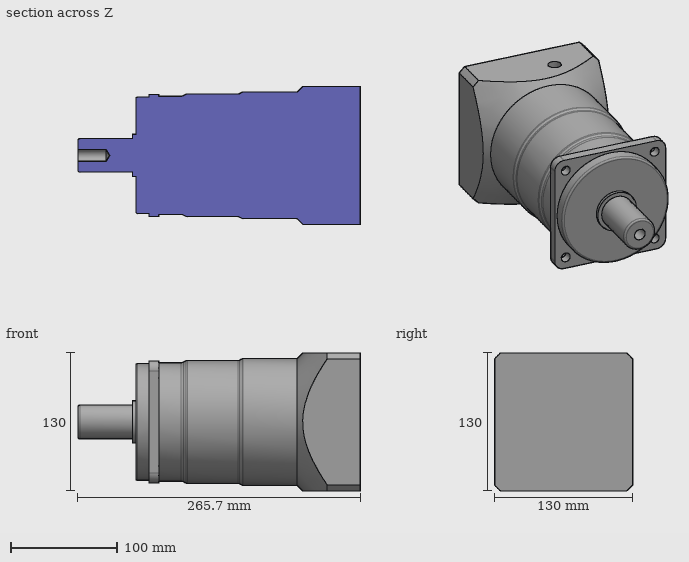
import cadquery as cq
import math

total_length = 265.7
block_side = 130.0

shaft_radius = 16.0
shaft_edge_radius = 1.9
collar_radius = 20.0
collar_start = 51.3
centre_hole_diameter = 11.0
centre_hole_depth = 26.5
drill_tip_angle = 118.0

pilot_radius = 55.0
pilot_start = 54.5
pilot_edge_radius = 1.9
flange_side = 114.8
flange_start = 66.7
flange_thickness = 9.5
flange_corner_radius = 9.5
bolt_spacing = 92.0
bolt_hole_diameter = 9.0

front_body_radius = 55.8
ring_body_radius = 58.0
rear_body_radius = 59.8
front_step_start = 97.0
front_step_foot_radius = 4.8
front_step_crown_radius = 3.2
rear_step_start = 150.7
rear_step_foot_radius = 3.2
rear_step_crown_radius = 1.5
step_angle = 27.0

cone_start = 206.2
block_corner_radius = 88.0

access_x = 233.8
access_y = -19.0
access_diameter = 12.5
access_depth = 26.5
access_bevel_y = -21.8
access_bevel_angle = 35.0


def rounded_corner(profile, corner_x, outer_radius, corner_radius):
    """Round the front outer corner of a cylinder whose end face is at corner_x."""
    inset = corner_radius * (1 - math.sqrt(0.5))
    return (
        profile.lineTo(corner_x, outer_radius - corner_radius)
        .threePointArc(
            (corner_x + inset, outer_radius - inset),
            (corner_x + corner_radius, outer_radius),
        )
    )


def blended_step(profile, start_x, low_radius, high_radius, foot_radius, crown_radius):
    """Rise to a larger radius: concave arc, straight cone, then convex arc."""
    angle = math.radians(step_angle)

    def arc_run(radius, turn):
        return radius * math.sin(turn)

    def arc_rise(radius, turn):
        return radius * (1 - math.cos(turn))

    cone_rise = high_radius - low_radius - arc_rise(foot_radius + crown_radius, angle)
    cone_run = cone_rise / math.tan(angle)
    end_x = start_x + arc_run(foot_radius + crown_radius, angle) + cone_run
    return (
        profile.lineTo(start_x, low_radius)
        .threePointArc(
            (start_x + arc_run(foot_radius, angle / 2), low_radius + arc_rise(foot_radius, angle / 2)),
            (start_x + arc_run(foot_radius, angle), low_radius + arc_rise(foot_radius, angle)),
        )
        .lineTo(end_x - arc_run(crown_radius, angle), high_radius - arc_rise(crown_radius, angle))
        .threePointArc(
            (end_x - arc_run(crown_radius, angle / 2), high_radius - arc_rise(crown_radius, angle / 2)),
            (end_x, high_radius),
        )
    )


def turned_body():
    """Shaft, collar, pilot boss and stepped housing as one revolved profile."""
    profile = rounded_corner(cq.Workplane("XY"), 0, shaft_radius, shaft_edge_radius)
    profile = (
        profile.lineTo(collar_start, shaft_radius)
        .lineTo(collar_start, collar_radius)
        .lineTo(pilot_start, collar_radius)
    )
    profile = rounded_corner(profile, pilot_start, pilot_radius, pilot_edge_radius)
    profile = profile.lineTo(flange_start, pilot_radius).lineTo(flange_start, front_body_radius)
    profile = blended_step(
        profile, front_step_start, front_body_radius, ring_body_radius,
        front_step_foot_radius, front_step_crown_radius,
    )
    profile = blended_step(
        profile, rear_step_start, ring_body_radius, rear_body_radius,
        rear_step_foot_radius, rear_step_crown_radius,
    )
    profile = profile.lineTo(cone_start, rear_body_radius).lineTo(cone_start, 0).close()
    return profile.revolve(360, (0, 0), (1, 0))


def mounting_flange():
    return (
        cq.Workplane("YZ", origin=(flange_start, 0, 0))
        .rect(flange_side, flange_side)
        .extrude(flange_thickness)
        .edges("|X")
        .fillet(flange_corner_radius)
    )


def motor_block():
    """Square block trimmed by a 45 degree cone at the front and a cylinder at its corners."""
    square = (
        cq.Workplane("YZ", origin=(cone_start, 0, 0))
        .rect(block_side, block_side)
        .extrude(total_length - cone_start)
    )
    cone_length = block_corner_radius - rear_body_radius
    envelope_profile = [
        (cone_start, 0),
        (cone_start, rear_body_radius),
        (cone_start + cone_length, block_corner_radius),
        (total_length, block_corner_radius),
        (total_length, 0),
    ]
    envelope = cq.Workplane("XY").polyline(envelope_profile).close().revolve(360, (0, 0), (1, 0))
    return square.intersect(envelope)


def bolt_holes():
    return (
        cq.Workplane("YZ", origin=(flange_start, 0, 0))
        .rect(bolt_spacing, bolt_spacing, forConstruction=True)
        .vertices()
        .circle(bolt_hole_diameter / 2)
        .extrude(flange_thickness)
    )


def centre_hole():
    radius = centre_hole_diameter / 2
    tip_length = radius / math.tan(math.radians(drill_tip_angle / 2))
    profile = [
        (0, 0),
        (0, radius),
        (centre_hole_depth, radius),
        (centre_hole_depth + tip_length, 0),
    ]
    return cq.Workplane("XY").polyline(profile).close().revolve(360, (0, 0), (1, 0))


def access_hole():
    """Blind hole whose flat floor slopes away downwards on the -Y side."""
    floor_z = block_side / 2 - access_depth
    radius = access_diameter / 2
    hole_edge_y = access_y - radius
    bevel_drop = (access_bevel_y - hole_edge_y) * math.tan(math.radians(access_bevel_angle))
    section = [
        (access_y + radius, block_side / 2),
        (access_y + radius, floor_z),
        (access_bevel_y, floor_z),
        (hole_edge_y, floor_z - bevel_drop),
        (hole_edge_y, block_side / 2),
    ]
    floor_shape = (
        cq.Workplane("YZ", origin=(access_x, 0, 0))
        .polyline(section)
        .close()
        .extrude(radius, both=True)
    )
    bore = (
        cq.Workplane("XY", origin=(access_x, access_y, block_side / 2))
        .circle(radius)
        .extrude(-access_depth - bevel_drop)
    )
    return bore.intersect(floor_shape)


result = (
    turned_body()
    .union(mounting_flange())
    .union(motor_block())
    .cut(bolt_holes())
    .cut(centre_hole())
    .cut(access_hole())
)